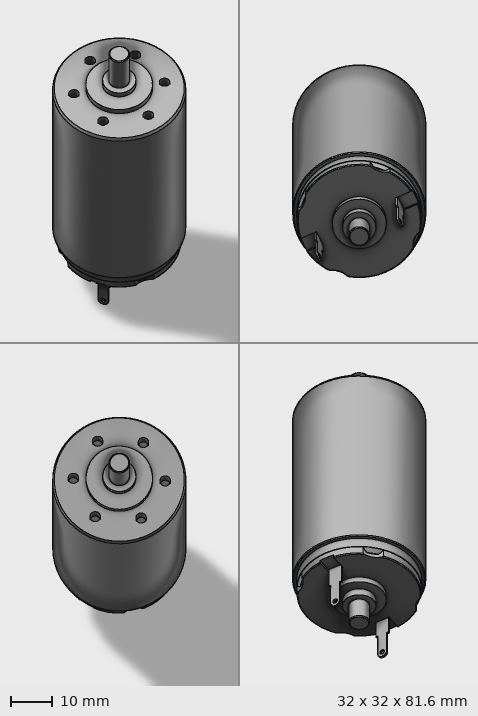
import cadquery as cq

total_height = 81.6
shaft_bottom = 2.7
rear_boss_bottom = 8.25
rear_step_bottom = 10.2
cap_bottom = 11.75
ledge_bottom = 12.7
collar_bottom = 13.95
housing_bottom = 16.6
housing_top = 68.8
front_flange_top = 70.25
front_boss_top = 71.7

shaft_diameter = 5.0
boss_diameter = 8.0
rear_step_diameter = 13.0
front_flange_diameter = 16.0
cap_diameter = 29.8
collar_diameter = 30.0
housing_diameter = 32.0

housing_top_chamfer_height = 0.7
housing_top_chamfer_width = 0.4
housing_bottom_chamfer = 0.25
shaft_chamfer = 0.25
cap_chamfer = 0.25

mount_hole_count = 6
mount_hole_diameter = 2.5
mount_hole_depth = 3.3
mount_circle_diameter = 22.0

scoop_count = 4
scoop_start_angle = 45.0
scoop_radius = 5.0
scoop_depth = 0.9
ledge_root_diameter = 28.6

terminal_offset = 10.7
terminal_thickness = 0.5
terminal_root_width = 3.6
terminal_tip_width = 2.5
terminal_shoulder = 7.1
terminal_hole_diameter = 1.2
terminal_hole_height = 1.5
terminal_slot_width = 3.75
terminal_slot_top = 12.5


def stage(diameter, bottom, top):
    """Coaxial cylinder between two levels."""
    return cq.Workplane("XY").workplane(offset=bottom).circle(diameter / 2).extrude(top - bottom)


def make_housing():
    housing = stage(housing_diameter, housing_bottom, housing_top)
    housing = housing.faces(">Z").edges().chamfer(housing_top_chamfer_height, housing_top_chamfer_width)
    housing = housing.faces("<Z").edges().chamfer(housing_bottom_chamfer)
    return (
        housing.faces(">Z").workplane(origin=(0, 0, housing_top))
        .polarArray(mount_circle_diameter / 2, 90, 360, mount_hole_count)
        .hole(mount_hole_diameter, mount_hole_depth)
    )


def make_scoop_ledge():
    """Conical skirt that slopes each scoop out to the full rim below the collar."""
    return (
        cq.Workplane("XY").workplane(offset=ledge_bottom).circle(ledge_root_diameter / 2)
        .workplane(offset=collar_bottom - ledge_bottom).circle(cap_diameter / 2)
        .loft(ruled=True)
    )


def make_terminal_slots():
    """Radial openings in the rim, outward from each terminal face."""
    slot_height = terminal_slot_top - cap_bottom
    inner_length = 2 * terminal_offset - terminal_thickness
    base = cq.Workplane("XY").workplane(offset=cap_bottom)
    across_rim = base.rect(terminal_slot_width, cap_diameter).extrude(slot_height)
    between_terminals = base.rect(terminal_slot_width, inner_length).extrude(slot_height)
    return across_rim.cut(between_terminals)


def make_rear_cap():
    cap = stage(cap_diameter, cap_bottom, collar_bottom)
    cap = cap.faces("<Z").edges().chamfer(cap_chamfer)
    scoop_center_radius = cap_diameter / 2 - scoop_depth + scoop_radius
    scoops = (
        cq.Workplane("XY").workplane(offset=cap_bottom)
        .polarArray(scoop_center_radius, scoop_start_angle, 360, scoop_count)
        .circle(scoop_radius)
        .extrude(collar_bottom - cap_bottom)
    )
    return cap.cut(scoops).union(make_scoop_ledge()).cut(make_terminal_slots())


def make_terminal(offset_y):
    tip_radius = terminal_tip_width / 2
    root = terminal_root_width / 2
    return (
        cq.Workplane("XZ", origin=(0, offset_y, 0))
        .moveTo(-root, collar_bottom)
        .lineTo(-root, terminal_shoulder)
        .lineTo(-tip_radius, terminal_shoulder)
        .lineTo(-tip_radius, tip_radius)
        .threePointArc((0, 0), (tip_radius, tip_radius))
        .lineTo(tip_radius, terminal_shoulder)
        .lineTo(root, terminal_shoulder)
        .lineTo(root, collar_bottom)
        .close()
        .moveTo(0, terminal_hole_height)
        .circle(terminal_hole_diameter / 2)
        .extrude(terminal_thickness / 2, both=True)
    )


shaft = stage(shaft_diameter, shaft_bottom, total_height)
shaft = shaft.faces("<Z or >Z").edges().chamfer(shaft_chamfer)

result = (
    make_housing()
    .union(stage(collar_diameter, collar_bottom, housing_bottom))
    .union(make_rear_cap())
    .union(stage(rear_step_diameter, rear_step_bottom, cap_bottom))
    .union(stage(boss_diameter, rear_boss_bottom, rear_step_bottom))
    .union(stage(front_flange_diameter, housing_top, front_flange_top))
    .union(stage(boss_diameter, front_flange_top, front_boss_top))
    .union(shaft)
)
for side in (-1, 1):
    result = result.union(make_terminal(side * terminal_offset))